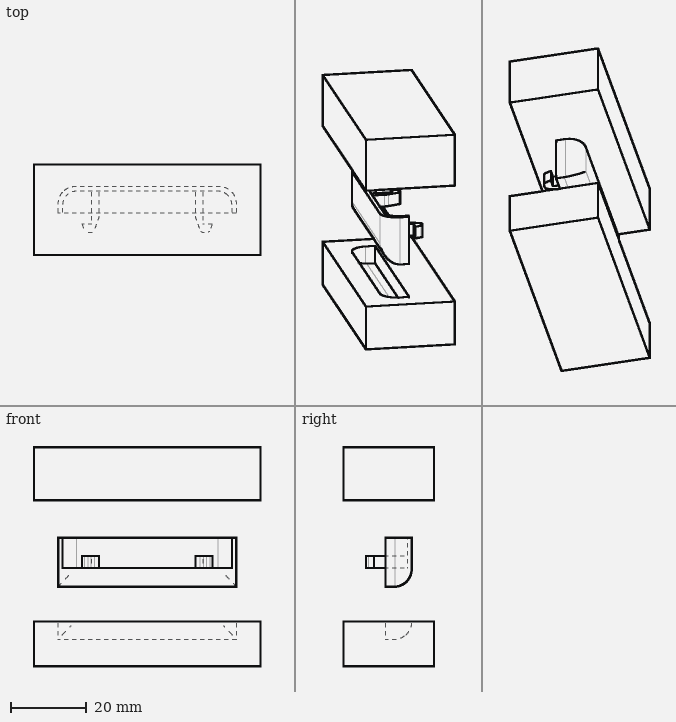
import cadquery as cq
import math

block_length = 60.0
block_width = 24.0
lower_height = 11.9
upper_height = 14.1
total_height = 58.0

clip_length = 47.15
clip_bottom = 21.0
clip_height = 13.0
clip_front = -0.9
clip_back = 6.1
corner_radius = 4.5
edge_radius = 4.8
wall = 1.2
floor_thickness = 5.0
pocket_radius = 3.7

finger_height = 3.25
arm_inner_x = 12.7
arm_width = 2.0
barb_x = 17.2
barb_shoulder_y = -3.85
finger_tip_y = -6.05
tip_flat_outer_x = 15.65
tip_flat_inner_x = 14.95
tip_radius = 1.0
flank_angle = 20.0
arm_bend_radius = 3.0

cavity_depth = edge_radius


def rounded_bar(bottom):
    """Bar along X with rounded upright back corners and a rounded lower back edge."""
    depth = clip_back - clip_front
    bar = (
        cq.Workplane("XY")
        .box(clip_length, depth, clip_height, centered=(True, False, False))
        .edges("|Z and >Y")
        .fillet(corner_radius)
    )
    profile = (
        cq.Workplane("YZ")
        .moveTo(0, 0)
        .lineTo(depth - edge_radius, 0)
        .radiusArc((depth, edge_radius), -edge_radius)
        .lineTo(depth, clip_height)
        .lineTo(0, clip_height)
        .close()
        .extrude(clip_length / 2, both=True)
    )
    return bar.intersect(profile).translate((0, clip_front, bottom))


def hooked_finger(side):
    """Arm from the back wall, ending in an outward barb; side is +1 or -1 along X."""
    lean = math.tan(math.radians(flank_angle))
    corner_setback = tip_radius * math.tan(math.radians(90 - flank_angle) / 2)
    nose_outer_x = tip_flat_outer_x + corner_setback
    nose_inner_x = tip_flat_inner_x - corner_setback
    bend_y = finger_tip_y + (nose_inner_x - arm_inner_x) / lean
    root_y = clip_back - wall / 2
    arm_outer_x = arm_inner_x + arm_width

    finger = (
        cq.Workplane("XY")
        .polyline([
            (arm_inner_x, root_y),
            (arm_inner_x, bend_y),
            (nose_inner_x, finger_tip_y),
            (nose_outer_x, finger_tip_y),
            (barb_x, barb_shoulder_y),
            (arm_outer_x, barb_shoulder_y),
            (arm_outer_x, root_y),
        ])
        .close()
        .extrude(finger_height)
    )
    finger = finger.edges("|Z and <Y").fillet(tip_radius)
    bend = cq.selectors.NearestToPointSelector((arm_inner_x, bend_y, finger_height / 2))
    finger = finger.edges("|Z").edges(bend).fillet(arm_bend_radius)
    if side < 0:
        finger = finger.mirror("YZ")
    return finger.translate((0, 0, clip_bottom + floor_thickness))


def plain_block(bottom, height):
    block = cq.Workplane("XY").box(block_length, block_width, height, centered=(True, True, False))
    return block.translate((0, 0, bottom))


def make_lower_block():
    """Lower mould block with the clip-shaped cavity in its top face."""
    block = plain_block(0, lower_height)
    return block.cut(rounded_bar(lower_height - cavity_depth))


def make_upper_block():
    """Plain upper mould block, ending at the total height."""
    return plain_block(total_height - upper_height, upper_height)


def make_clip():
    """Trough with a pocket open to the front and top, and two mirrored fingers."""
    pocket_depth = clip_back - wall - clip_front
    pocket = (
        cq.Workplane("XY")
        .box(clip_length - 2 * wall, pocket_depth, clip_height, centered=(True, False, False))
        .edges("|Z and >Y")
        .fillet(pocket_radius)
        .translate((0, clip_front, clip_bottom + floor_thickness))
    )
    clip = rounded_bar(clip_bottom).cut(pocket)
    for side in (-1, 1):
        clip = clip.union(hooked_finger(side))
    return clip


lower_block = make_lower_block()
upper_block = make_upper_block()
clip = make_clip()

result = cq.Compound.makeCompound([
    lower_block.solids().val(),
    upper_block.solids().val(),
    clip.solids().val(),
])